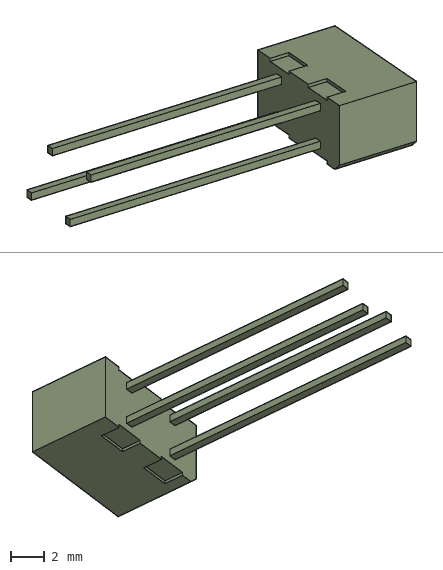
import cadquery as cq

overall_length = 23.6
housing_width = 8.7
housing_length = 5.57
housing_height = 4.5
corner_chamfer = 0.5

lead_size = 0.5
lead_pitch_x = 4.13
lead_pitch_z = 2.55
lower_lead_length = overall_length - housing_length
upper_lead_shortening = 1.5
upper_lead_length = lower_lead_length - upper_lead_shortening

notch_width = 2.0
notch_length = 1.35
notch_depth = 0.21
notch_pitch_x = 4.05

SIDES = (-1, 1)


def make_notch(x_side, z_side):
    """Cutter for one notch, sunk into the top or bottom face."""
    x = x_side * notch_pitch_x / 2
    z = z_side * (housing_height - notch_depth) / 2
    return (
        cq.Workplane("XY")
        .box(notch_width, notch_length, notch_depth, centered=(True, False, True))
        .translate((x, 0, z))
    )


def make_housing():
    """Block with one chamfered lower corner and four notches."""
    block = cq.Workplane("XY").box(
        housing_width, housing_length, housing_height, centered=(True, False, True)
    )
    block = block.edges("|Y and >X and <Z").chamfer(corner_chamfer)
    for x_side in SIDES:
        for z_side in SIDES:
            block = block.cut(make_notch(x_side, z_side))
    return block


def make_lead(x, z, length):
    """Straight square lead that starts on the lead face."""
    return (
        cq.Workplane("XY")
        .box(lead_size, length, lead_size)
        .translate((x, -length / 2, z))
    )


housing = make_housing()

leads = []
for x_side in SIDES:
    lead_x = x_side * lead_pitch_x / 2
    leads.append(make_lead(lead_x, lead_pitch_z / 2, upper_lead_length))
    leads.append(make_lead(lead_x, -lead_pitch_z / 2, lower_lead_length))

result = cq.Compound.makeCompound([housing.val(), *[lead.val() for lead in leads]])